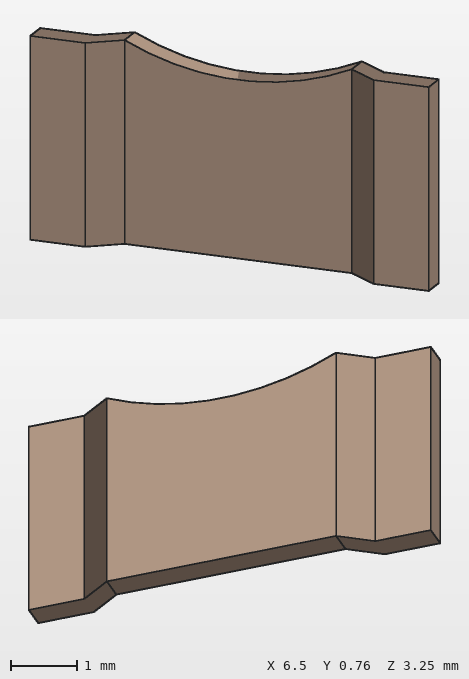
import cadquery as cq

length = 6.5
height = 3.25
thickness = 0.41
step = 0.35

half_length = length / 2
half_panel = 1.85
half_bend = 2.35

scallop_depth = 0.4


def make_panel():
    """Flat middle panel with an arc scooped out of its top edge."""
    return (
        cq.Workplane("XZ", origin=(0, step, 0))
        .moveTo(-half_panel, 0)
        .lineTo(half_panel, 0)
        .lineTo(half_panel, height)
        .threePointArc((0, height - scallop_depth), (-half_panel, height))
        .close()
        .extrude(-thickness)
    )


def make_tab(side):
    """End tab with its sloped shoulder; side is -1 for left, 1 for right."""
    outline = [
        (side * half_panel, step),
        (side * half_bend, 0),
        (side * half_length, 0),
        (side * half_length, thickness),
        (side * half_bend, thickness),
        (side * half_panel, step + thickness),
    ]
    return cq.Workplane("XY").polyline(outline).close().extrude(height)


panel = make_panel()
tabs = [make_tab(side) for side in (-1, 1)]

result = cq.Compound.makeCompound([panel.val(), *[tab.val() for tab in tabs]])